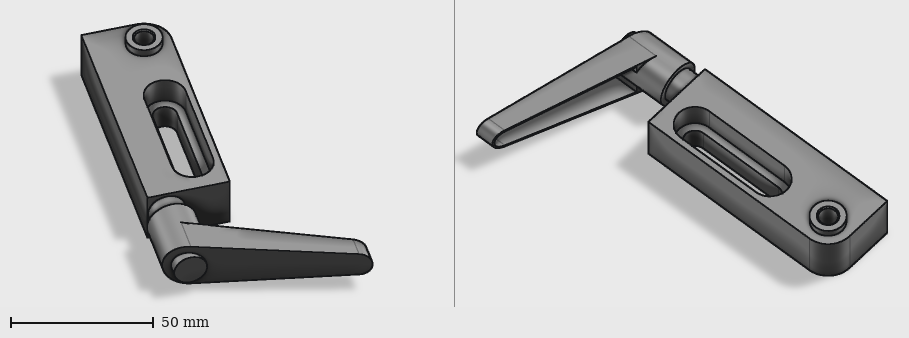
import cadquery as cq
import math

BLOCK_LENGTH = 85.0
BLOCK_WIDTH = 30.0
BLOCK_HEIGHT = 19.5
CORNER_RADIUS = 10.0

SLOT_LENGTH = 43.7
SLOT_WIDTH = 8.7
RECESS_MARGIN = 3.15
RECESS_LENGTH = SLOT_LENGTH + 2 * RECESS_MARGIN
RECESS_WIDTH = SLOT_WIDTH + 2 * RECESS_MARGIN
RECESS_DEPTH = 10.0
SLOT_CENTRE_X = 54.5
SLOT_CENTRE_Y = BLOCK_WIDTH - CORNER_RADIUS

BUSH_DIAMETER = 13.0
BUSH_PROJECTION = 3.0
BUSH_BORE = 7.0
BUSH_CHAMFER = 0.5
BUSH_X = CORNER_RADIUS
BUSH_Y = BLOCK_WIDTH - CORNER_RADIUS
BUSH_HEIGHT = BLOCK_HEIGHT + BUSH_PROJECTION

HUB_RADIUS = 9.0
AXIS_Y = 7.0
AXIS_Z = 11.5
NECK_DIAMETER = 13.5
NECK_LENGTH = 6.5
CAP_END_OFFSET = 24.5
CAP_DIAMETER = 12.0
HUB_START_X = BLOCK_LENGTH + NECK_LENGTH
CAP_END_X = HUB_START_X + CAP_END_OFFSET

ARM_REACH = 61.99
TIP_RADIUS = 5.0
TIP_WIDTH = 7.3
TIP_OUTER_X = 130.66
OUTER_FACE_ANGLE = 15.4
INNER_FACE_ANGLE = 20.0
ARM_WALL = 0.8
POCKET_START = 8.0


def make_block():
    """Block with one rounded corner, a recessed slot and the bore for the bush."""
    block = cq.Workplane("XY").box(BLOCK_LENGTH, BLOCK_WIDTH, BLOCK_HEIGHT, centered=False)
    block = block.edges("|Z and <X and >Y").fillet(CORNER_RADIUS)
    slot = (
        cq.Workplane("XY")
        .center(SLOT_CENTRE_X, SLOT_CENTRE_Y)
        .slot2D(SLOT_LENGTH, SLOT_WIDTH)
        .extrude(BLOCK_HEIGHT)
    )
    recess = (
        cq.Workplane("XY", origin=(0, 0, BLOCK_HEIGHT - RECESS_DEPTH))
        .center(SLOT_CENTRE_X, SLOT_CENTRE_Y)
        .slot2D(RECESS_LENGTH, RECESS_WIDTH)
        .extrude(RECESS_DEPTH)
    )
    bush_bore = (
        cq.Workplane("XY")
        .center(BUSH_X, BUSH_Y)
        .circle(BUSH_DIAMETER / 2)
        .extrude(BLOCK_HEIGHT)
    )
    return block.cut(slot).cut(recess).cut(bush_bore)


def make_bush():
    """Bush through the block, standing proud of its top, with a chamfered bore."""
    bush = (
        cq.Workplane("XY")
        .center(BUSH_X, BUSH_Y)
        .circle(BUSH_DIAMETER / 2)
        .circle(BUSH_BORE / 2)
        .extrude(BUSH_HEIGHT)
    )
    bore_rim = bush.faces(">Z").edges(cq.selectors.RadiusNthSelector(0))
    return bore_rim.chamfer(BUSH_CHAMFER)


def cylinder_along_x(radius, start_x, end_x):
    """Cylinder on the hub axis between two X positions."""
    return (
        cq.Workplane("YZ", origin=(start_x, AXIS_Y, AXIS_Z))
        .circle(radius)
        .extrude(end_x - start_x)
    )


def outer_face_x(reach):
    """X of the sloping outer face at a distance from the hub axis along Y."""
    return TIP_OUTER_X - (ARM_REACH - reach) * math.tan(math.radians(OUTER_FACE_ANGLE))


def inner_face_x(reach):
    """X of the sloping inner face at a distance from the hub axis along Y."""
    tip_inner_x = TIP_OUTER_X - TIP_WIDTH
    return tip_inner_x - (ARM_REACH - reach) * math.tan(math.radians(INNER_FACE_ANGLE))


def arm_outline(inset):
    """Bar along X whose section joins the hub circle to the tip circle by tangents, drawn in by inset."""
    tip_centre = ARM_REACH - TIP_RADIUS
    root_radius = HUB_RADIUS - inset
    tip_radius = TIP_RADIUS - inset
    taper = math.asin((root_radius - tip_radius) / tip_centre)
    along = math.sin(taper)
    across = math.cos(taper)
    return (
        cq.Workplane("YZ", origin=(0, AXIS_Y, AXIS_Z))
        .moveTo(root_radius * along, -root_radius * across)
        .lineTo(tip_centre + tip_radius * along, -tip_radius * across)
        .threePointArc(
            (tip_centre + tip_radius, 0),
            (tip_centre + tip_radius * along, tip_radius * across),
        )
        .lineTo(root_radius * along, root_radius * across)
        .threePointArc((-root_radius, 0), (root_radius * along, -root_radius * across))
        .close()
        .extrude(TIP_OUTER_X)
    )


def arm_slab(wall, start):
    """Wedge between the two sloping faces from start to the tip, its outer face moved inwards by wall."""
    shift = wall / math.cos(math.radians(OUTER_FACE_ANGLE))
    return (
        cq.Workplane("XY")
        .moveTo(inner_face_x(start), AXIS_Y + start)
        .lineTo(outer_face_x(start) - shift, AXIS_Y + start)
        .lineTo(outer_face_x(ARM_REACH) - shift, AXIS_Y + ARM_REACH)
        .lineTo(inner_face_x(ARM_REACH), AXIS_Y + ARM_REACH)
        .close()
        .extrude(AXIS_Z + HUB_RADIUS)
    )


def make_lever():
    """Clamping lever: hollow arm on a hub, with a neck to the block and an end cap."""
    hub = cylinder_along_x(HUB_RADIUS, HUB_START_X, outer_face_x(HUB_RADIUS))
    beyond_outer_face = (
        cq.Workplane("XY")
        .moveTo(outer_face_x(-HUB_RADIUS), AXIS_Y - HUB_RADIUS)
        .lineTo(outer_face_x(HUB_RADIUS), AXIS_Y - HUB_RADIUS)
        .lineTo(outer_face_x(HUB_RADIUS), AXIS_Y + HUB_RADIUS)
        .close()
        .extrude(AXIS_Z + HUB_RADIUS)
    )
    hub = hub.cut(beyond_outer_face)
    arm = arm_outline(0).intersect(arm_slab(0, -HUB_RADIUS))
    pocket = arm_outline(ARM_WALL).intersect(arm_slab(ARM_WALL, POCKET_START))
    neck = cylinder_along_x(NECK_DIAMETER / 2, BLOCK_LENGTH, HUB_START_X)
    cap = cylinder_along_x(CAP_DIAMETER / 2, HUB_START_X, CAP_END_X)
    return arm.cut(pocket).union(hub).union(neck).union(cap)


block = make_block()
bush = make_bush()
lever = make_lever()

result = cq.Compound.makeCompound([block.val(), bush.val(), lever.val()])